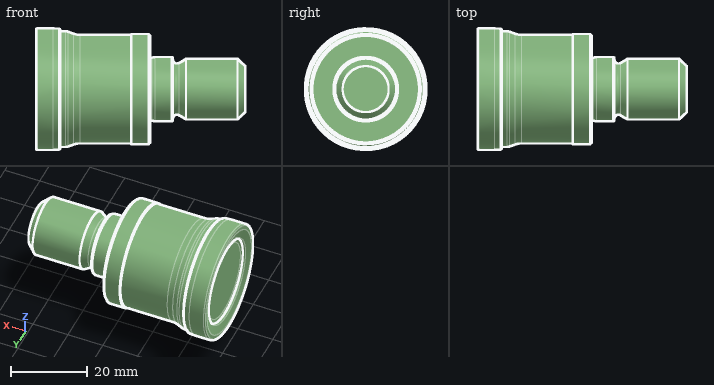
import cadquery as cq
import math


RING_LENGTH = 6.4
RING_DIA = 32.01
RING_BACK_DIA = 31.85
RING_TAPER_START = 4.5
RIM_ROUND = 0.4
RING_BACK_CHAMFER = 0.35
DISH_DIA = 29.0
DISH_ANGLE = math.radians(13.5)
BORE_DIA = 23.4
BORE_LIP_ROUND = 0.4

RECESS_X = 1.25
FLOOR_X = 1.45
FLOOR_DIA = 21.2

NECK_DIA = 30.5
BARREL_DIA = 28.6
BLEND_START = 7.7
BLEND_CONVEX_RADIUS = 2.0
BLEND_CONCAVE_RADIUS = 5.0
BLEND_ANGLE = math.radians(20)

COLLAR_START = 24.9
COLLAR_END = 30.0
COLLAR_DIA = 29.0
COLLAR_CHAMFER = 0.5

LAND_DIA = 16.6
LAND_END = COLLAR_END + 0.4
ROOT_FILLET = 0.2
SEAT_DIA = 17.0
SEAT_START = 31.25
SEAT_END = 36.0
SEAT_CHAMFER_LENGTH = 0.45
SEAT_CHAMFER_ANGLE = math.radians(30)

GROOVE_DIA = 13.5
GROOVE_RADIUS = 1.0
GROOVE_ANGLE = math.radians(30)
STEM_DIA = 16.0
STEM_TIP_DIA = 12.1
STEM_CHAMFER_LENGTH = 2.1
TOTAL_LENGTH = 54.99


def turn(profile):
    """Close a half profile and revolve it about the X axis."""
    return profile.close().revolve(360, (0, 0, 0), (1, 0, 0))


def make_ring():
    outer = RING_DIA / 2
    back = RING_BACK_DIA / 2
    bore = BORE_DIA / 2
    lip_r = bore + BORE_LIP_ROUND * (1 - math.sin(DISH_ANGLE))
    lip_x = (DISH_DIA / 2 - lip_r) * math.tan(DISH_ANGLE)
    bore_start = lip_x + BORE_LIP_ROUND * math.cos(DISH_ANGLE)
    profile = (
        cq.Workplane("XY")
        .moveTo(bore_start, bore)
        .radiusArc((lip_x, lip_r), BORE_LIP_ROUND)
        .lineTo(0, DISH_DIA / 2)
        .lineTo(0, outer - RIM_ROUND)
        .radiusArc((RIM_ROUND, outer), RIM_ROUND)
        .lineTo(RING_TAPER_START, outer)
        .lineTo(RING_LENGTH - RING_BACK_CHAMFER, back)
        .lineTo(RING_LENGTH, back - RING_BACK_CHAMFER)
        .lineTo(RING_LENGTH, bore)
    )
    return turn(profile)


def make_body():
    spigot = BORE_DIA / 2
    neck = NECK_DIA / 2
    barrel = BARREL_DIA / 2
    collar = COLLAR_DIA / 2
    land = LAND_DIA / 2
    seat = SEAT_DIA / 2
    stem = STEM_DIA / 2

    cone_start_x = BLEND_START + BLEND_CONVEX_RADIUS * math.sin(BLEND_ANGLE)
    cone_start_r = neck - BLEND_CONVEX_RADIUS * (1 - math.cos(BLEND_ANGLE))
    cone_end_r = barrel + BLEND_CONCAVE_RADIUS * (1 - math.cos(BLEND_ANGLE))
    cone_end_x = cone_start_x + (cone_start_r - cone_end_r) / math.tan(BLEND_ANGLE)
    barrel_start = cone_end_x + BLEND_CONCAVE_RADIUS * math.sin(BLEND_ANGLE)

    collar_step = collar - barrel
    seat_edge = seat - SEAT_CHAMFER_LENGTH * math.tan(SEAT_CHAMFER_ANGLE)

    groove_bottom = GROOVE_DIA / 2
    groove_center_x = SEAT_END + GROOVE_RADIUS
    groove_center_r = groove_bottom + GROOVE_RADIUS
    groove_exit_x = groove_center_x + GROOVE_RADIUS * math.sin(GROOVE_ANGLE)
    groove_exit_r = groove_center_r - GROOVE_RADIUS * math.cos(GROOVE_ANGLE)
    stem_start = groove_exit_x + (stem - groove_exit_r) / math.tan(GROOVE_ANGLE)

    profile = (
        cq.Workplane("XY")
        .moveTo(FLOOR_X, 0)
        .lineTo(FLOOR_X, FLOOR_DIA / 2)
        .lineTo(RECESS_X, spigot)
        .lineTo(RING_LENGTH, spigot)
        .lineTo(RING_LENGTH, neck)
        .lineTo(BLEND_START, neck)
        .radiusArc((cone_start_x, cone_start_r), BLEND_CONVEX_RADIUS)
        .lineTo(cone_end_x, cone_end_r)
        .radiusArc((barrel_start, barrel), -BLEND_CONCAVE_RADIUS)
        .lineTo(COLLAR_START, barrel)
        .lineTo(COLLAR_START + collar_step, collar)
        .lineTo(COLLAR_END - COLLAR_CHAMFER, collar)
        .lineTo(COLLAR_END, collar - COLLAR_CHAMFER)
        .lineTo(COLLAR_END, land + ROOT_FILLET)
        .radiusArc((COLLAR_END + ROOT_FILLET, land), -ROOT_FILLET)
        .lineTo(LAND_END, land)
        .lineTo(SEAT_START, seat)
        .lineTo(SEAT_END - SEAT_CHAMFER_LENGTH, seat)
        .lineTo(SEAT_END, seat_edge)
        .lineTo(SEAT_END, groove_center_r)
        .threePointArc((groove_center_x, groove_bottom), (groove_exit_x, groove_exit_r))
        .lineTo(stem_start, stem)
        .lineTo(TOTAL_LENGTH - STEM_CHAMFER_LENGTH, stem)
        .lineTo(TOTAL_LENGTH, STEM_TIP_DIA / 2)
        .lineTo(TOTAL_LENGTH, 0)
    )
    return turn(profile)


ring = make_ring()
body = make_body()

result = cq.Compound.makeCompound([ring.val(), body.val()])